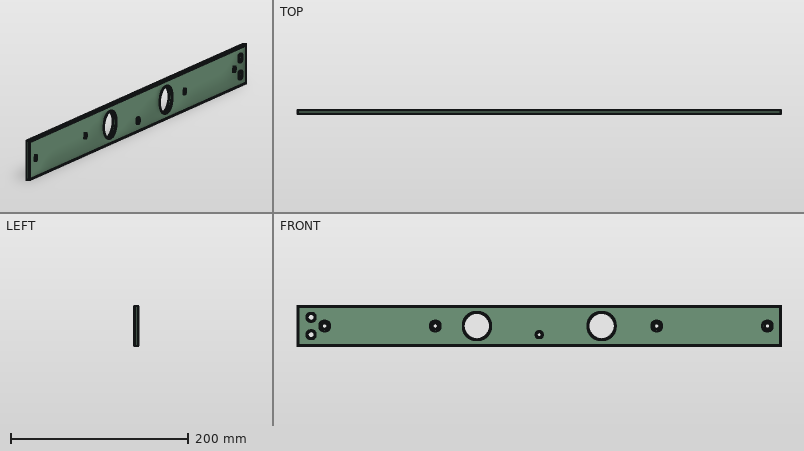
import cadquery as cq

length = 545.0
thickness = 5.0
height = 45.0
front_y = -thickness / 2
edge_chamfer = 1.0

window_diameter = 30.0
window_x = 70.5

screw_pitch = 125.0
first_screw_x = -242.0
screw_places = (0, 1, 3, 4)
screw_hole_diameter = 6.5
countersink_diameter = 12.0

pair_hole_diameter = 8.0
pair_hole_x = -257.0
centre_hole_diameter = 6.0
hole_row_offset = 10.0


def chamfered_hole(x, z, diameter, chamfer):
    """Cutter for a through hole along Y with the same 45 degree chamfer at both faces."""
    radius = diameter / 2
    profile = [
        (0, front_y),
        (radius + chamfer, front_y),
        (radius, front_y + chamfer),
        (radius, -front_y - chamfer),
        (radius + chamfer, -front_y),
        (0, -front_y),
    ]
    cutter = cq.Workplane("XY").polyline(profile).close().revolve(360, (0, 0), (0, 1))
    return cutter.translate((x, 0, z))


def countersunk_hole(x, z, diameter, sink_diameter):
    """Cutter for a through hole along Y with a 90 degree countersink in the front face."""
    radius = diameter / 2
    sink_radius = sink_diameter / 2
    profile = [
        (0, front_y),
        (sink_radius, front_y),
        (radius, front_y + sink_radius - radius),
        (radius, -front_y),
        (0, -front_y),
    ]
    cutter = cq.Workplane("XY").polyline(profile).close().revolve(360, (0, 0), (0, 1))
    return cutter.translate((x, 0, z))


result = cq.Workplane("XY").box(length, thickness, height)
result = result.faces("<Y or >Y").edges().chamfer(edge_chamfer)

for side in (-1, 1):
    result = result.cut(chamfered_hole(side * window_x, 0, window_diameter, edge_chamfer))
    result = result.cut(
        chamfered_hole(pair_hole_x, side * hole_row_offset, pair_hole_diameter, edge_chamfer))

result = result.cut(chamfered_hole(0, -hole_row_offset, centre_hole_diameter, edge_chamfer))

for place in screw_places:
    screw_x = first_screw_x + place * screw_pitch
    result = result.cut(countersunk_hole(screw_x, 0, screw_hole_diameter, countersink_diameter))